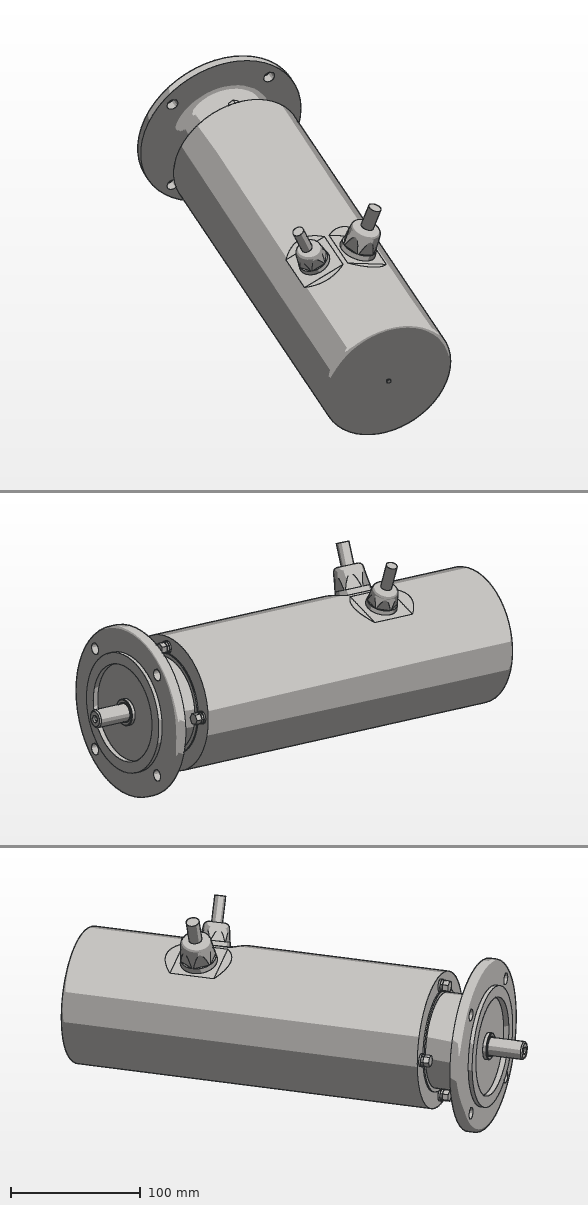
import cadquery as cq
import math


shaft_diameter = 14.0
shaft_tip_diameter = 12.0
center_hole_diameter = 3.45
countersink_diameter = 5.8
center_hole_depth = 5.5

spigot_face_x = 26.5
flange_face_x = 29.7
flange_back_x = 37.5
flange_diameter = 135.0
flange_edge_radius = 2.5
spigot_diameter = 95.0
recess_diameter = 77.0
recess_depth = 4.5
mounting_hole_diameter = 9.0
mounting_circle_diameter = 115.0
mounting_hole_count = 4
first_mounting_hole_angle = 45

seal_diameter = 21.0
seal_face_diameter = 20.0
seal_height = 3.3
seal_bore_diameter = 16.0
seal_bore_depth = 0.7

neck_diameter = 75.0
neck_fillet = 6.5
neck_step_diameter = 81.0
neck_step_length = 1.0

body_front_x = 69.0
body_back_x = 361.0
body_diameter = 107.0
body_edge_radius = 3.08
rear_button_diameter = 3.45
rear_button_length = 1.0

bolt_circle_diameter = 90.5
bolt_head_width = 8.0
bolt_head_height = 4.7
washer_diameter = 10.0
washer_thickness = 1.5
lock_washer_diameter = 9.0
lock_washer_thickness = 1.8
bolt_count = 4

pad_center_x = 260.0
pad_tilt = 21
pad_height = 50.5
pad_flat_length = 36.0
pad_total_length = 52.5

body_radius = body_diameter / 2
recess_floor_x = spigot_face_x + recess_depth


def revolve_about_x(profile):
    return profile.close().revolve(360, (0, 0, 0), (1, 0, 0))


def turned_motor():
    """Shaft, flange, neck and body as one turned shape."""
    tip_chamfer = (shaft_diameter - shaft_tip_diameter) / 2
    flange_radius = flange_diameter / 2
    neck_radius = neck_diameter / 2
    arc_offset = 1 - math.sqrt(0.5)
    profile = (
        cq.Workplane("XY")
        .lineTo(0, shaft_tip_diameter / 2)
        .lineTo(tip_chamfer, shaft_diameter / 2)
        .lineTo(recess_floor_x, shaft_diameter / 2)
        .lineTo(recess_floor_x, recess_diameter / 2)
        .lineTo(spigot_face_x, recess_diameter / 2)
        .lineTo(spigot_face_x, spigot_diameter / 2)
        .lineTo(flange_face_x, spigot_diameter / 2)
        .lineTo(flange_face_x, flange_radius - flange_edge_radius)
        .threePointArc(
            (flange_face_x + arc_offset * flange_edge_radius, flange_radius - arc_offset * flange_edge_radius),
            (flange_face_x + flange_edge_radius, flange_radius),
        )
        .lineTo(flange_back_x, flange_radius)
        .lineTo(flange_back_x, neck_radius + neck_fillet)
        .threePointArc(
            (flange_back_x + arc_offset * neck_fillet, neck_radius + arc_offset * neck_fillet),
            (flange_back_x + neck_fillet, neck_radius),
        )
        .lineTo(body_front_x - neck_step_length, neck_radius)
        .lineTo(body_front_x - neck_step_length, neck_step_diameter / 2)
        .lineTo(body_front_x, neck_step_diameter / 2)
        .lineTo(body_front_x, body_radius)
        .lineTo(body_back_x - body_edge_radius, body_radius)
        .threePointArc(
            (body_back_x - arc_offset * body_edge_radius, body_radius - arc_offset * body_edge_radius),
            (body_back_x, body_radius - body_edge_radius),
        )
        .lineTo(body_back_x, rear_button_diameter / 2)
        .lineTo(body_back_x + rear_button_length, rear_button_diameter / 2)
        .lineTo(body_back_x + rear_button_length, 0)
    )
    return revolve_about_x(profile)


def seal_ring():
    """Chamfered ring with a shallow bore around the shaft."""
    chamfer = (seal_diameter - seal_face_diameter) / 2
    face_x = recess_floor_x - seal_height
    profile = (
        cq.Workplane("XY")
        .moveTo(recess_floor_x, 0)
        .lineTo(recess_floor_x, seal_diameter / 2)
        .lineTo(face_x + chamfer, seal_diameter / 2)
        .lineTo(face_x, seal_face_diameter / 2)
        .lineTo(face_x, seal_bore_diameter / 2)
        .lineTo(face_x + seal_bore_depth, seal_bore_diameter / 2)
        .lineTo(face_x + seal_bore_depth, 0)
    )
    return revolve_about_x(profile)


def center_hole():
    """Centre drilling in the shaft tip, with a 90 degree countersink and drill point."""
    countersink_radius = countersink_diameter / 2
    hole_radius = center_hole_diameter / 2
    profile = (
        cq.Workplane("XY")
        .lineTo(0, countersink_radius)
        .lineTo(countersink_radius - hole_radius, hole_radius)
        .lineTo(center_hole_depth, hole_radius)
        .lineTo(center_hole_depth + hole_radius, 0)
    )
    return revolve_about_x(profile)


def mounting_holes():
    return (
        cq.Workplane("YZ", origin=(flange_face_x, 0, 0))
        .polarArray(mounting_circle_diameter / 2, first_mounting_hole_angle, 360, mounting_hole_count)
        .circle(mounting_hole_diameter / 2)
        .extrude(flange_back_x - flange_face_x)
    )


def bolts():
    """Washers and hexagon heads, each with a corner pointing away from the motor axis."""
    corner_diameter = bolt_head_width / math.cos(math.pi / 6)
    lock_washer_height = washer_thickness + lock_washer_thickness
    bolt_height = lock_washer_height + bolt_head_height
    front_face = cq.Workplane("YZ", origin=(body_front_x, 0, 0))
    bolt_centers = front_face.polarArray(bolt_circle_diameter / 2, 0, 360, bolt_count)
    washers = bolt_centers.circle(washer_diameter / 2).extrude(-washer_thickness)
    lock_washers = bolt_centers.circle(lock_washer_diameter / 2).extrude(-lock_washer_height)
    heads = bolt_centers.polygon(6, corner_diameter).extrude(-bolt_height)
    return washers.union(lock_washers).union(heads)


def tilted(shape, tilt):
    """Swing a shape from the top of the body around the motor axis; a positive tilt is toward +Y."""
    return shape.rotate((0, 0, 0), (1, 0, 0), -tilt)


def pad_cutter():
    """Cutter that leaves a flat on top of the body, with a slope running out at each end."""
    half_flat = pad_flat_length / 2
    half_total = pad_total_length / 2
    return (
        cq.Workplane("XZ", origin=(pad_center_x, 0, 0))
        .moveTo(-half_flat, pad_height)
        .lineTo(half_flat, pad_height)
        .lineTo(half_total, body_radius)
        .lineTo(-half_total, body_radius)
        .close()
        .extrude(body_radius, both=True)
    )


def make_motor():
    motor = turned_motor().union(seal_ring()).union(bolts())
    motor = motor.cut(center_hole()).cut(mounting_holes())
    for tilt in (pad_tilt, -pad_tilt):
        motor = motor.cut(tilted(pad_cutter(), tilt))
    return motor


def make_gland(
    tilt, base_diameter, collar_height, nut_width, crown_diameter, top_diameter, gland_height,
    cable_diameter, cable_end,
):
    """Cable gland with its cable, standing on a pad. The cable end is measured from the motor axis."""
    base_radius = base_diameter / 2
    crown_radius = crown_diameter / 2
    top_radius = top_diameter / 2
    crown_fillet = crown_radius - top_radius
    arc_offset = crown_fillet * math.sqrt(0.5)
    crown_height = gland_height - crown_fillet

    body = (
        cq.Workplane("XZ")
        .lineTo(base_radius, 0)
        .lineTo(crown_radius, crown_height)
        .threePointArc(
            (top_radius + arc_offset, crown_height + arc_offset),
            (top_radius, gland_height),
        )
        .lineTo(0, gland_height)
        .close()
        .revolve(360, (0, 0, 0), (0, 1, 0))
    )

    flats = (
        cq.Workplane("XY", origin=(0, 0, collar_height))
        .circle(base_diameter)
        .polygon(6, nut_width / math.cos(math.pi / 6))
        .extrude(gland_height)
        .rotate((0, 0, 0), (0, 0, 1), 30)
    )
    cable = cq.Workplane("XY").circle(cable_diameter / 2).extrude(cable_end - pad_height)
    gland = body.cut(flats).union(cable)
    return tilted(gland.translate((pad_center_x, 0, pad_height)), tilt)


motor = make_motor()

large_gland = make_gland(
    tilt=pad_tilt,
    base_diameter=29,
    collar_height=4.5,
    nut_width=24.5,
    crown_diameter=24.0,
    top_diameter=16.0,
    gland_height=22.5,
    cable_diameter=10.0,
    cable_end=91.2,
)

small_gland = make_gland(
    tilt=-pad_tilt,
    base_diameter=25.0,
    collar_height=3.5,
    nut_width=21.0,
    crown_diameter=20.5,
    top_diameter=12.0,
    gland_height=17.7,
    cable_diameter=8.7,
    cable_end=89.0,
)

result = cq.Compound.makeCompound([motor.val(), large_gland.val(), small_gland.val()])